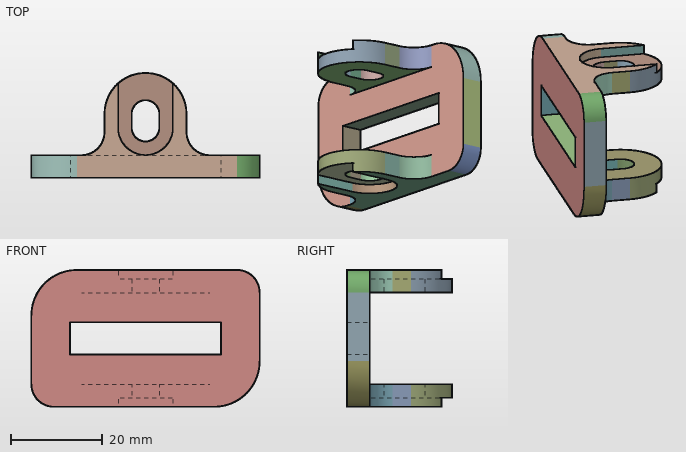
import cadquery as cq

plate_width = 50
plate_height = 30
plate_thickness = 5
large_corner_radius = 10
small_corner_radius = 5
window_width = 33
window_height = 7

lug_radius = 9
lug_thickness = 5
lug_center_y = 14
lug_root_radius = 5

recess_radius = 6
recess_depth = 2
recess_center_y = plate_thickness + recess_radius

hole_radius = 3
hole_front_y = recess_center_y
hole_back_y = lug_center_y


def make_plate():
    """Rectangular plate with unequal rounded corners and a central window."""
    plate = cq.Workplane("XY").box(
        plate_width, plate_thickness, plate_height, centered=(True, False, True)
    )
    half_width = plate_width / 2
    half_height = plate_height / 2
    corners = [
        (-half_width, half_height, large_corner_radius),
        (half_width, -half_height, large_corner_radius),
        (half_width, half_height, small_corner_radius),
        (-half_width, -half_height, small_corner_radius),
    ]
    for x, z, radius in corners:
        corner_edge = cq.selectors.NearestToPointSelector((x, plate_thickness / 2, z))
        plate = plate.edges("|Y").edges(corner_edge).fillet(radius)
    window = cq.Workplane("XY").box(
        window_width, plate_thickness, window_height, centered=(True, False, True)
    )
    return plate.cut(window)


def make_upper_lug():
    """Round-ended lug with flared root, outer recess and elongated hole."""
    top_z = plate_height / 2
    bottom_z = top_z - lug_thickness
    flare_half_width = lug_radius + lug_root_radius
    flare_end_y = plate_thickness + lug_root_radius
    arc_mid_offset = lug_root_radius / 2**0.5
    arc_mid_x = flare_half_width - arc_mid_offset
    arc_mid_y = flare_end_y - arc_mid_offset
    lug = (
        cq.Workplane("XY", origin=(0, 0, bottom_z))
        .moveTo(-flare_half_width, 0)
        .lineTo(flare_half_width, 0)
        .lineTo(flare_half_width, plate_thickness)
        .threePointArc((arc_mid_x, arc_mid_y), (lug_radius, flare_end_y))
        .lineTo(lug_radius, lug_center_y)
        .threePointArc((0, lug_center_y + lug_radius), (-lug_radius, lug_center_y))
        .lineTo(-lug_radius, flare_end_y)
        .threePointArc((-arc_mid_x, arc_mid_y), (-flare_half_width, plate_thickness))
        .close()
        .extrude(lug_thickness)
    )

    lug_end_y = lug_center_y + lug_radius
    recess = (
        cq.Workplane("XY", origin=(0, 0, top_z - recess_depth))
        .moveTo(-recess_radius, lug_end_y)
        .lineTo(-recess_radius, recess_center_y)
        .threePointArc((0, plate_thickness), (recess_radius, recess_center_y))
        .lineTo(recess_radius, lug_end_y)
        .close()
        .extrude(recess_depth)
    )

    hole_length = hole_back_y - hole_front_y + 2 * hole_radius
    hole = (
        cq.Workplane("XY", origin=(0, (hole_front_y + hole_back_y) / 2, bottom_z))
        .slot2D(hole_length, 2 * hole_radius, 90)
        .extrude(lug_thickness)
    )
    return lug.cut(recess).cut(hole)


upper_lug = make_upper_lug()
lower_lug = upper_lug.mirror("XY")
result = make_plate().union(upper_lug).union(lower_lug)